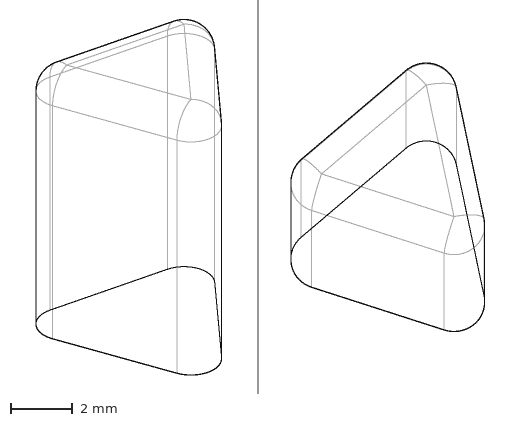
import cadquery as cq
import math

height = 10.0
edge_radius = 1.0
width = 6.54

core_side = width - 2 * edge_radius
core_depth = core_side * math.sqrt(3) / 2
core_corners = [
    (-core_side / 2, -core_depth / 3),
    (core_side / 2, -core_depth / 3),
    (0, core_depth * 2 / 3),
]

prism = (
    cq.Workplane("XY")
    .polyline(core_corners)
    .close()
    .offset2D(edge_radius, "arc")
    .extrude(height)
)

result = prism.faces(">Z").edges().fillet(edge_radius).solids()